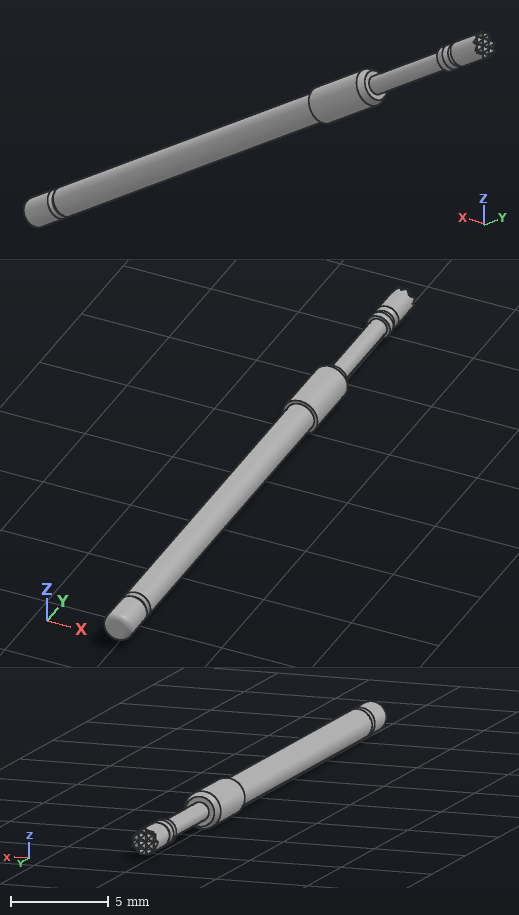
import cadquery as cq

total_length = 34.3

barrel_diameter = 1.6
barrel_end_round = 0.35
barrel_groove_start = 2.02
barrel_groove_width = 0.4
barrel_groove_depth = 0.15

collar_diameter = 2.0
collar_start = 21.95
collar_end = 25.95
collar_chamfer_length = 0.4
collar_chamfer_depth = 0.2

plunger_diameter = 1.0
head_diameter = 1.35
head_start = 31.28
head_groove_start = 31.7
head_groove_width = 0.62
head_groove_depth = 0.1

tooth_pitch = 0.4
tooth_depth = 0.27
crown_groove_offsets = (-tooth_pitch, 0, tooth_pitch)


def rod(diameter, start, end):
    """Cylinder along Y from start to end."""
    plane = cq.Workplane("XZ", origin=(0, start, 0))
    return plane.circle(diameter / 2).extrude(start - end)


def ring_groove(diameter, start, width, depth):
    """Ring with a V-shaped inner side, cut around a cylinder of the given diameter."""
    surface_radius = diameter / 2
    clear_radius = surface_radius + depth
    end = start + width
    profile = [
        (clear_radius, start),
        (surface_radius, start),
        (surface_radius - depth, start + width / 2),
        (surface_radius, end),
        (clear_radius, end),
    ]
    section = cq.Workplane("XY").polyline(profile).close()
    return section.revolve(360, (0, 0, 0), (0, 1, 0))


def crown_groove(offset):
    """V-shaped cutter running along Z across the end of the head, offset along X."""
    profile = [
        (offset - tooth_pitch / 2, total_length),
        (offset + tooth_pitch / 2, total_length),
        (offset, total_length - tooth_depth),
    ]
    return cq.Workplane("XY").polyline(profile).close().extrude(head_diameter / 2, both=True)


barrel = rod(barrel_diameter, 0, collar_start).faces("<Y").edges().fillet(barrel_end_round)
barrel = barrel.cut(
    ring_groove(barrel_diameter, barrel_groove_start, barrel_groove_width, barrel_groove_depth)
)

collar = rod(collar_diameter, collar_start, collar_end)
collar = collar.faces(">Y").chamfer(collar_chamfer_length, collar_chamfer_depth)

plunger = rod(plunger_diameter, collar_end, head_start)

head = rod(head_diameter, head_start, total_length)
head = head.cut(ring_groove(head_diameter, head_groove_start, head_groove_width, head_groove_depth))
for offset in crown_groove_offsets:
    groove = crown_groove(offset)
    head = head.cut(groove).cut(groove.rotate((0, 0, 0), (0, 1, 0), 90))

result = barrel.union(collar).union(plunger).union(head)